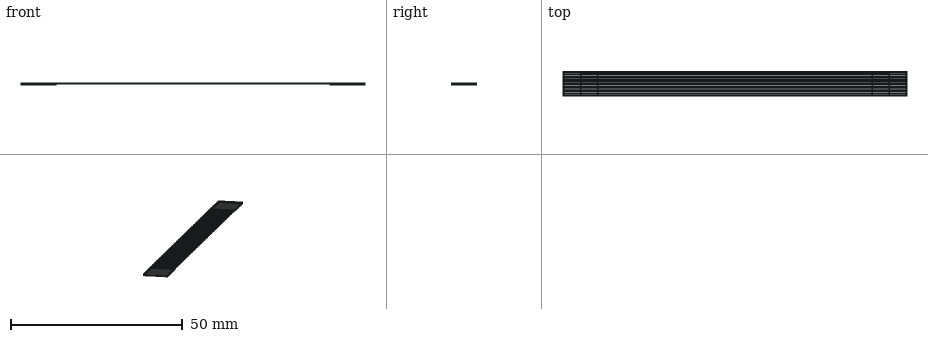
import cadquery as cq

cable_length = 100.0
cable_width = 7.0
cable_thickness = 0.36

conductor_count = 6
conductor_pitch = 1.0
conductor_width = 0.7
conductor_thickness = 0.02
bare_length = 5.0

cover_thickness = 0.05
stiffener_length = 10.0
stiffener_thickness = 0.2
edge_seal_width = 0.6

insulated_length = cable_length - 2 * bare_length

cover_bottom = cable_thickness - cover_thickness
conductor_bottom = cover_bottom - conductor_thickness


def layer(length, width, bottom, top, center_x=0.0, center_y=0.0):
    """Rectangular layer between two heights, centred at (center_x, center_y)."""
    block = cq.Workplane("XY").box(length, width, top - bottom, centered=(True, True, False))
    return block.translate((center_x, center_y, bottom))


def base_film():
    """Film under the conductors, running the full length of the cable."""
    return layer(cable_length, cable_width, stiffener_thickness, conductor_bottom)


def cover_film():
    """Film over the conductors, stripped back at both ends."""
    return layer(insulated_length, cable_width, cover_bottom, cable_thickness)


def edge_seal(side):
    """Joins the two films along a long edge; side is -1 or +1 along Y."""
    center_y = side * (cable_width - edge_seal_width) / 2
    return layer(insulated_length, edge_seal_width, conductor_bottom, cover_bottom, center_y=center_y)


def conductor(index):
    center_y = (index - (conductor_count - 1) / 2) * conductor_pitch
    return layer(cable_length, conductor_width, conductor_bottom, cover_bottom, center_y=center_y)


def stiffener(side):
    """Stiffener under one cable end; side is -1 or +1 along X."""
    center_x = side * (cable_length - stiffener_length) / 2
    return layer(stiffener_length, cable_width, 0.0, stiffener_thickness, center_x=center_x)


cable = base_film().union(cover_film())
for index in range(conductor_count):
    cable = cable.union(conductor(index))
for side in (-1, 1):
    cable = cable.union(edge_seal(side))
    cable = cable.union(stiffener(side))

result = cable.clean()